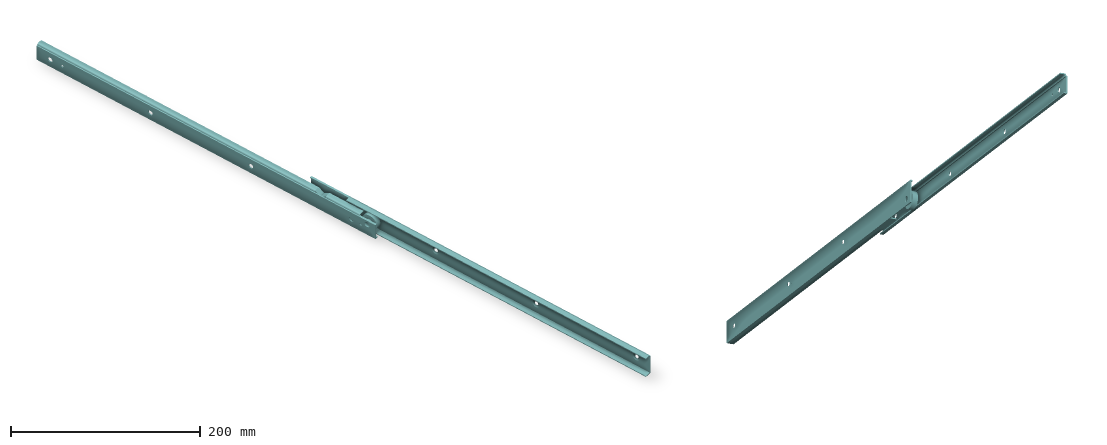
import cadquery as cq
import math


total_length = 805.0
total_depth = 13.4
total_height = 29.6
rail_length = 450.0
sheet = 1.2
x_end = total_length / 2
y_back = total_depth / 2
y_front = -y_back
z_top = total_height / 2
z_bottom = -z_top

cabinet_x_start = x_end - rail_length
cabinet_height = 26.6
cabinet_z_bottom = z_top - cabinet_height
cabinet_z_middle = z_top - cabinet_height / 2
cabinet_depth = 8.0
cabinet_step = 1.4
cabinet_z_ledge = z_top - cabinet_step
cabinet_top_setback = 52.0
cabinet_bottom_setback = 52.0

drawer_x_start = -x_end
drawer_x_end = drawer_x_start + rail_length
drawer_z_top = 9.2
drawer_z_bottom = -13.2
drawer_step = 2.2
drawer_z_ledge = drawer_z_top - drawer_step
drawer_top_flange = 8.0
drawer_bottom_flange = 4.0
drawer_hole_z = -3.0
drawer_flange_setback = 22.0

dip_x = -26.7
dip_half_width = 7.0
dip_depth = 4.2

roller_radius = 9.9
roller_width = 6.0
roller_y_front = -2.5
axle_inset = 11.1
axle_radius = 4.6
axle_bore_radius = 3.4
axle_clearance = 0.1
cabinet_axle_x = cabinet_x_start + axle_inset
cabinet_axle_z = z_bottom + roller_radius
drawer_axle_x = drawer_x_end - axle_inset
drawer_axle_z = cabinet_z_middle

cabinet_hole_count = 3
drawer_hole_count = 4
hole_span = 400.0
hole_pitch = hole_span / (drawer_hole_count - 1)
end_hole_inset = 18.0
drawer_hole_diameter = 6.0
cabinet_hole_diameter = 4.6
countersink_diameter = 9.0
small_hole_diameter = 3.2
small_hole_xs = (-368.5, 28.0)


def box(x_range, y_range, z_range):
    """Axis-aligned block spanning the given ranges."""
    size = [high - low for low, high in (x_range, y_range, z_range)]
    corner = (x_range[0], y_range[0], z_range[0])
    return cq.Workplane("XY").box(*size, centered=False).translate(corner)


def cylinder_y(x, z, radius, y_low, y_high):
    """Cylinder with its axis along Y."""
    center = cq.Vector(x, y_low, z)
    return cq.Workplane(cq.Solid.makeCylinder(radius, y_high - y_low, center, cq.Vector(0, 1, 0)))


def channel(x_start, y_web, y_bottom_edge, y_top_edge, z_low, z_high, step):
    """C-section rail: a flat web, a square bottom flange and a top flange raised above the web by a step.

    The web ends in a ledge below the top flange, and a round bend rises from the ledge to the flange.
    """
    inward = math.copysign(1, y_top_edge - y_web)
    y_inside = y_web + inward * sheet
    y_knee = y_inside + inward * sheet
    y_bend_end = y_inside + inward * step
    z_ledge = z_high - step
    slant = math.sqrt(0.5)
    inner_step = step - sheet
    profile = (
        cq.Workplane("YZ", origin=(x_start, 0, 0))
        .moveTo(y_bottom_edge, z_low)
        .lineTo(y_web, z_low)
        .lineTo(y_web, z_ledge)
        .lineTo(y_inside, z_ledge)
        .threePointArc(
            (y_bend_end - inward * step * slant, z_ledge + step * slant),
            (y_bend_end, z_high),
        )
        .lineTo(y_top_edge, z_high)
        .lineTo(y_top_edge, z_high - sheet)
        .lineTo(y_bend_end, z_high - sheet)
        .threePointArc(
            (y_bend_end - inward * inner_step * slant, z_ledge + inner_step * slant),
            (y_knee, z_ledge),
        )
        .lineTo(y_knee, z_ledge - sheet)
        .lineTo(y_inside, z_ledge - sheet)
        .lineTo(y_inside, z_low + sheet)
        .lineTo(y_bottom_edge, z_low + sheet)
        .close()
    )
    return profile.extrude(rail_length)


def make_cabinet_rail():
    y_edge = y_back - cabinet_depth
    y_web_inside = y_back - sheet
    rail = channel(cabinet_x_start, y_back, y_edge, y_edge, cabinet_z_bottom, z_top, cabinet_step)

    top_cutback = (cabinet_x_start, cabinet_x_start + cabinet_top_setback)
    rail = rail.cut(box(top_cutback, (y_edge, y_back), (cabinet_z_ledge, z_top)))
    bottom_cutback = (cabinet_x_start, cabinet_x_start + cabinet_bottom_setback)
    rail = rail.cut(box(bottom_cutback, (y_edge, y_web_inside), (cabinet_z_bottom, cabinet_z_bottom + sheet)))

    for index in range(cabinet_hole_count):
        x = x_end - end_hole_inset - index * hole_pitch
        cone = cq.Solid.makeCone(
            countersink_diameter / 2,
            cabinet_hole_diameter / 2,
            sheet,
            cq.Vector(x, y_web_inside, cabinet_z_middle),
            cq.Vector(0, 1, 0),
        )
        rail = rail.cut(cq.Workplane(cone))

    axle = cylinder_y(cabinet_axle_x, cabinet_axle_z, axle_radius, roller_y_front, y_web_inside)
    bore = cylinder_y(cabinet_axle_x, cabinet_axle_z, axle_bore_radius, roller_y_front, y_back)
    return rail.union(axle).cut(bore)


def make_drawer_rail():
    y_top_edge = y_front + drawer_top_flange
    y_bottom_edge = y_front + drawer_bottom_flange
    y_web_inside = y_front + sheet
    rail = channel(
        drawer_x_start, y_front, y_bottom_edge, y_top_edge, drawer_z_bottom, drawer_z_top, drawer_step
    )

    setback = (drawer_x_end - drawer_flange_setback, drawer_x_end)
    rail = rail.cut(box(setback, (y_front, y_top_edge), (drawer_z_ledge, drawer_z_top)))

    upper_v = [
        (dip_x - dip_half_width, drawer_z_top),
        (dip_x, drawer_z_top - dip_depth),
        (dip_x + dip_half_width, drawer_z_top),
    ]
    lower_v = [(x, z - sheet) for x, z in reversed(upper_v)]
    dip_range = (dip_x - dip_half_width, dip_x + dip_half_width)
    z_knee = drawer_z_ledge - sheet
    rail = rail.cut(box(dip_range, (y_web_inside, y_top_edge), (z_knee, drawer_z_top)))
    dip_outline = cq.Workplane("XZ", origin=(0, y_web_inside, 0)).polyline(upper_v + lower_v).close()
    rail = rail.union(dip_outline.extrude(y_web_inside - y_top_edge))

    for index in range(drawer_hole_count):
        x = drawer_x_start + end_hole_inset + index * hole_pitch
        rail = rail.cut(cylinder_y(x, drawer_hole_z, drawer_hole_diameter / 2, y_front, y_web_inside))
    for x in small_hole_xs:
        rail = rail.cut(cylinder_y(x, drawer_hole_z, small_hole_diameter / 2, y_front, y_web_inside))

    y_axle_end = roller_y_front + roller_width
    axle = cylinder_y(drawer_axle_x, drawer_axle_z, axle_radius, y_web_inside, y_axle_end)
    bore = cylinder_y(drawer_axle_x, drawer_axle_z, axle_bore_radius, y_front, y_axle_end)
    return rail.union(axle).cut(bore)


def make_roller(x, z):
    """Plain wheel with a running clearance around its axle."""
    y_range = (roller_y_front, roller_y_front + roller_width)
    wheel = cylinder_y(x, z, roller_radius, *y_range)
    return wheel.cut(cylinder_y(x, z, axle_radius + axle_clearance, *y_range))


cabinet_rail = make_cabinet_rail()
drawer_rail = make_drawer_rail()
roller_places = [(cabinet_axle_x, cabinet_axle_z), (drawer_axle_x, drawer_axle_z)]
rollers = [make_roller(x, z) for x, z in roller_places]

result = cq.Compound.makeCompound(
    [cabinet_rail.val(), drawer_rail.val(), *[roller.val() for roller in rollers]]
)